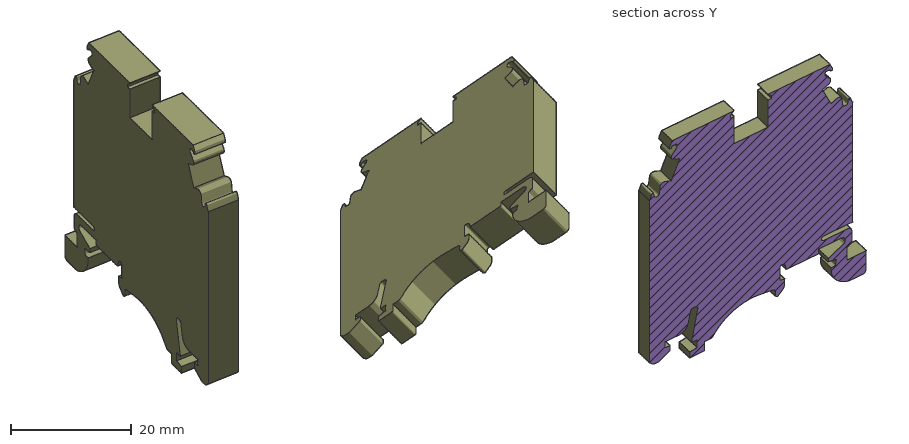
import cadquery as cq
import math


LENGTH = 44.25
HEIGHT = 51.0
THICKNESS = 6.0

BODY_HALF = 20.75
BODY_RIGHT = BODY_HALF
BODY_LEFT = -BODY_HALF
FOOT_LEFT = BODY_RIGHT - LENGTH

OPENING_HALF = 3.43
OPENING_FLOOR = 43.6
GROOVE_DEPTH = 0.72
GROOVE_TOP = 50.2
GROOVE_BOTTOM = 49.7

MARKER_EDGE = 16.1
MARKER_SIDE = 16.6
MARKER_SIDE_BREAK = 49.95
MARKER_TIP_OUTER = 16.7
MARKER_TIP_INNER = 16.2
MARKER_TIP = 49.3
MARKER_CEILING = 49.7
MARKER_RECESS = 15.1
MARKER_RECESS_BOTTOM = 49.0
NOSE = (16.8, 47.0)
NOTCH_UPPER = (14.6, 46.05)
NOTCH_LOWER = (16.3, 42.05)
STEP = (18.45, 43.0)
GUTTER_INNER = 18.8
GUTTER_OUTER = 19.65
GUTTER_FLOOR = 40.05
RIM_INNER = (19.85, 41.3)
RIM_OUTER = (20.3, 41.1)
BODY_SIDE_TOP = 39.95

SHARP = 0
TINY_ROUND = 0.2
SMALL_ROUND = 0.3
GUTTER_ROUND = 0.45
MEDIUM_ROUND = 0.5
LARGE_ROUND = 0.8

SLIT_TOP = 12.9
SLIT_BOTTOM = 12.0
SLIT_END = -14.38
SLIT_ROUND = (SLIT_TOP - SLIT_BOTTOM) / 2
SLIT_ROUND_CENTRE_X = SLIT_END - SLIT_ROUND
ARM_ROUND = 0.95
ARM_OUTER = -20.6
ARM_WAIST = -19.65
ARM_INNER = -19.16
ARM_BEND_TOP = 8.4
ARM_BEND_BOTTOM = 7.85
ARM_UNDERSIDE = 10.5
LATCH_TOP = 5.05
LATCH_RIGHT = -16.27
LATCH_ARC_START = (-20.05, 0)
LATCH_ARC_MIDDLE = (-17.57, 1.4)
LATCH_ARC_END = (LATCH_RIGHT, 4.5)
THROAT_BOTTOM_X = -17.15
THROAT_TOP = (-17.36, 6.3)
BARB_TIP = -15.73
BARB_BOTTOM = 6.55
BARB_TOP = 7.42
POCKET_BOTTOM = 9.2

SEAT_LEFT = -13.8
SEAT_RIGHT = -7.15
SEAT_UNDERSIDE = 9.43
RELIEF_TOP = 10.9
RELIEF_LEFT = -6.85
HOOK_SLOT_RIGHT = -5.94
HOOK_SLOT_BOTTOM = 7.8
HOOK_TOP = 7.55
HOOK_BEND = 5.65
HOOK_BACK_ROUND = 1.4
HOOK_TIP = (-5.35, 4.2)
HOOK_FACE_BOTTOM = 4.7
HOOK_ROOT = 6.2
HOOK_LEFT = -6.88
HOOK_RIGHT = -4.89

ARCH_RADIUS = 9.6
ARCH_CENTRE_X = -0.37
ARCH_TOP = 6.75
ARCH_START_ANGLE = 99.6
ARCH_END_ANGLE = 34.6

FOOT_SHOULDER = 2.05
FOOT_FACE = 9.4
FOOT_TOE = 12.5
FOOT_NECK = 11.03
FOOT_SHOULDER_LEFT = 8.0
FOOT_TOE_TOP = 1.4
FOOT_NECK_BOTTOM = 1.65
FOOT_NECK_TOP = 3.27
FOOT_BARB = 12.2

LEG_SLOT_LEFT = 10.8
LEG_SLOT_RIGHT = 12.2
LEG_SHELF = 6.32
LEG_SHELF_LEFT = 13.1
SHELF_ROUND = 2.0
LEG_INNER = 17.5
LIP_LEFT = 16.45
LIP_TOP = 5.05
LIP_BOTTOM = 3.8
LEG_UNDERSIDE = 2.5
LEG_TOE_LEFT = 18.75
LEG_TOE_RIGHT = 20.0
BODY_SIDE_BOTTOM = 3.4


def right_shoulder():
    """Corners (x, z, radius) from the opening floor over the right shoulder to the body side."""
    groove = OPENING_HALF + GROOVE_DEPTH
    opening = [
        (OPENING_HALF, OPENING_FLOOR, SHARP),
        (OPENING_HALF, GROOVE_BOTTOM, SHARP),
        (groove, GROOVE_BOTTOM, SHARP),
        (groove, GROOVE_TOP, SHARP),
        (OPENING_HALF, HEIGHT, SHARP),
    ]
    marker_hook = [
        (MARKER_EDGE, HEIGHT, SHARP),
        (MARKER_SIDE, MARKER_SIDE_BREAK, TINY_ROUND),
        (MARKER_TIP_OUTER, MARKER_TIP, TINY_ROUND),
        (MARKER_TIP_INNER, MARKER_TIP, TINY_ROUND),
        (MARKER_EDGE, MARKER_CEILING, TINY_ROUND),
        (MARKER_RECESS, MARKER_CEILING, SMALL_ROUND),
        (MARKER_RECESS, MARKER_RECESS_BOTTOM, SMALL_ROUND),
    ]
    nose_and_notch = [
        (*NOSE, LARGE_ROUND),
        (*NOTCH_UPPER, SHARP),
        (*NOTCH_LOWER, SHARP),
    ]
    step = [
        (*STEP, LARGE_ROUND),
        (GUTTER_INNER, GUTTER_FLOOR, GUTTER_ROUND),
        (GUTTER_OUTER, GUTTER_FLOOR, GUTTER_ROUND),
        (*RIM_INNER, TINY_ROUND),
        (*RIM_OUTER, SMALL_ROUND),
        (BODY_RIGHT, BODY_SIDE_TOP, SHARP),
    ]
    return opening + marker_hook + nose_and_notch + step


def left_shoulder():
    """The right shoulder mirrored, from the opening floor over to the left side of the body."""
    return [(-x, z, radius) for x, z, radius in right_shoulder()]


def spring_arm():
    """Corners from the lower side of the slit down the outside of the arm to the latch arc."""
    arm = [
        (SLIT_ROUND_CENTRE_X, SLIT_BOTTOM, SHARP),
        (ARM_OUTER, SLIT_BOTTOM, ARM_ROUND),
        (ARM_OUTER, ARM_BEND_TOP, SMALL_ROUND),
        (ARM_WAIST, ARM_BEND_BOTTOM, SMALL_ROUND),
        (ARM_WAIST, LATCH_TOP, SHARP),
    ]
    latch = [
        (FOOT_LEFT, LATCH_TOP, SHARP),
        (FOOT_LEFT, 0, LARGE_ROUND),
        (*LATCH_ARC_START, SHARP),
    ]
    return arm + latch


def slit_top():
    """Corners from the left side of the body along the upper side of the slit."""
    return [
        (BODY_LEFT, SLIT_TOP, SHARP),
        (SLIT_ROUND_CENTRE_X, SLIT_TOP, SHARP),
    ]


def barb_seat_and_hook():
    """Corners from the top of the latch arc, past the rail seat, to the start of the arch."""
    barb = [
        (*LATCH_ARC_END, SHARP),
        (LATCH_RIGHT, LATCH_TOP, SHARP),
        (THROAT_BOTTOM_X, LATCH_TOP, SMALL_ROUND),
        (*THROAT_TOP, SHARP),
        (BARB_TIP, BARB_BOTTOM, SHARP),
        (BARB_TIP, BARB_TOP, SHARP),
        (ARM_INNER, POCKET_BOTTOM, LARGE_ROUND),
        (ARM_INNER, ARM_UNDERSIDE, LARGE_ROUND),
    ]
    seat = [
        (SEAT_LEFT, ARM_UNDERSIDE, SHARP),
        (SEAT_LEFT, SEAT_UNDERSIDE, TINY_ROUND),
        (SEAT_RIGHT, SEAT_UNDERSIDE, TINY_ROUND),
        (RELIEF_LEFT, RELIEF_TOP, MEDIUM_ROUND),
        (HOOK_SLOT_RIGHT, RELIEF_TOP, SMALL_ROUND),
    ]
    hook = [
        (HOOK_SLOT_RIGHT, HOOK_SLOT_BOTTOM, SHARP),
        (HOOK_LEFT, HOOK_TOP, SHARP),
        (HOOK_LEFT, HOOK_BEND, HOOK_BACK_ROUND),
        (*HOOK_TIP, SMALL_ROUND),
        (HOOK_RIGHT, HOOK_FACE_BOTTOM, SMALL_ROUND),
        (HOOK_RIGHT, HOOK_ROOT, MEDIUM_ROUND),
        (*arch_point(ARCH_START_ANGLE), SHARP),
    ]
    return barb + seat + hook


def arch_point(angle):
    """Point on the arch at an angle in degrees from +X."""
    turn = math.radians(angle)
    centre_z = ARCH_TOP - ARCH_RADIUS
    return (
        ARCH_CENTRE_X + ARCH_RADIUS * math.cos(turn),
        centre_z + ARCH_RADIUS * math.sin(turn),
    )


def foot_and_leg():
    """Corners from the end of the arch round the middle foot and up the right leg."""
    foot = [
        (*arch_point(ARCH_END_ANGLE), SHARP),
        (FOOT_SHOULDER_LEFT, FOOT_SHOULDER, LARGE_ROUND),
        (FOOT_FACE, FOOT_SHOULDER, SHARP),
        (FOOT_FACE, 0, SMALL_ROUND),
        (FOOT_TOE, 0, SHARP),
        (FOOT_TOE, FOOT_TOE_TOP, SHARP),
        (FOOT_NECK, FOOT_NECK_BOTTOM, SHARP),
        (FOOT_NECK, FOOT_NECK_TOP, SHARP),
        (FOOT_BARB, FOOT_NECK_TOP, TINY_ROUND),
    ]
    leg = [
        (LEG_SLOT_LEFT, RELIEF_TOP, MEDIUM_ROUND),
        (LEG_SLOT_RIGHT, RELIEF_TOP, MEDIUM_ROUND),
        (LEG_SHELF_LEFT, LEG_SHELF, SHELF_ROUND),
        (LEG_INNER, LEG_SHELF, SHARP),
        (LEG_INNER, LIP_TOP, SHARP),
        (LIP_LEFT, LIP_TOP, TINY_ROUND),
        (LIP_LEFT, LIP_BOTTOM, SMALL_ROUND),
        (LEG_TOE_LEFT, LEG_UNDERSIDE, LARGE_ROUND),
        (LEG_TOE_RIGHT, LEG_UNDERSIDE, LARGE_ROUND),
        (BODY_RIGHT, BODY_SIDE_BOTTOM, SMALL_ROUND),
    ]
    return foot + leg


def add_rounded_corner(path, before, corner, after):
    """Extend the path to a corner and round it with an arc tangent to both of its sides."""
    x, z, radius = corner
    point = cq.Vector(x, z)
    to_before = (cq.Vector(before[0], before[1]) - point).normalized()
    to_after = (cq.Vector(after[0], after[1]) - point).normalized()
    half_angle = to_before.getAngle(to_after) / 2
    setback = radius / math.tan(half_angle)
    bisector = (to_before + to_after).normalized()
    arc_start = point + to_before * setback
    arc_middle = point + bisector * (radius / math.sin(half_angle) - radius)
    arc_end = point + to_after * setback
    path = path.lineTo(arc_start.x, arc_start.y)
    return path.threePointArc((arc_middle.x, arc_middle.y), (arc_end.x, arc_end.y))


def add_run(path, corners):
    """Extend the path from the first corner, where it already ends, through all the others."""
    for index in range(1, len(corners)):
        x, z, radius = corners[index]
        if radius == SHARP:
            path = path.lineTo(x, z)
        else:
            path = add_rounded_corner(path, corners[index - 1], corners[index], corners[index + 1])
    return path


def outline():
    """Closed outline, anticlockwise from the top of the latch arc."""
    arch_middle = arch_point((ARCH_START_ANGLE + ARCH_END_ANGLE) / 2)
    slit_middle = (SLIT_END, SLIT_BOTTOM + SLIT_ROUND)
    path = cq.Workplane("XZ").moveTo(*LATCH_ARC_END)
    path = add_run(path, barb_seat_and_hook())
    path = path.threePointArc(arch_middle, arch_point(ARCH_END_ANGLE))
    top_edge = right_shoulder()[::-1] + left_shoulder()
    path = add_run(path, foot_and_leg() + top_edge + slit_top())
    path = path.threePointArc(slit_middle, (SLIT_ROUND_CENTRE_X, SLIT_BOTTOM))
    path = add_run(path, spring_arm())
    path = path.threePointArc(LATCH_ARC_MIDDLE, LATCH_ARC_END)
    return path.close()


result = outline().extrude(THICKNESS / 2, both=True)